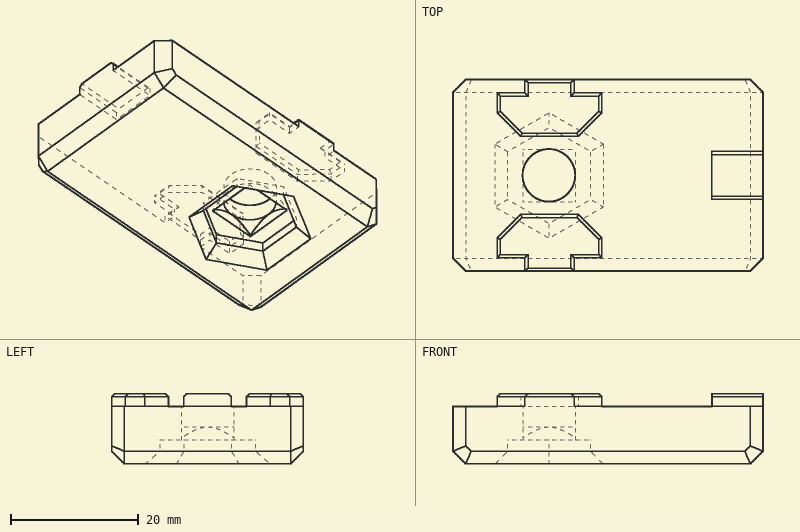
import cadquery as cq
import math

length = 48.5
width = 30.0
base_height = 9.0
edge_chamfer = 2.0

raised_height = 2.0
raised_chamfer = 0.5

lug_center_x = 15.1
lug_width = 16.4
lug_inner_y = 6.1
lug_shoulder_y = 12.9
lug_corner_cut = 3.7
lug_stem_width = 7.7

pad_length = 8.0
pad_width = 7.5

hole_x = 15.0
hole_diameter = 8.2
hex_sides = 6
hex_across_flats = 13.0
hex_depth = 3.8
hex_chamfer = edge_chamfer
neck_side = hole_diameter
neck_depth = 2.0


def make_base():
    """Block whose lower and upright edges are all chamfered."""
    block = cq.Workplane("XY").box(length, width, base_height, centered=(False, True, False))
    block = block.faces("<Z").edges("|Y").chamfer(edge_chamfer)
    for end_face in ("<Y", ">Y"):
        block = block.faces(end_face).edges("not >Z").chamfer(edge_chamfer)
    return block


def make_lug():
    """T-shaped lug on the -Y side, its stem flush with the side of the base."""
    half = lug_width / 2
    stem = lug_stem_width / 2
    outline = [
        (-stem, -width / 2),
        (stem, -width / 2),
        (stem, -lug_shoulder_y),
        (half, -lug_shoulder_y),
        (half, -lug_inner_y - lug_corner_cut),
        (half - lug_corner_cut, -lug_inner_y),
        (lug_corner_cut - half, -lug_inner_y),
        (-half, -lug_inner_y - lug_corner_cut),
        (-half, -lug_shoulder_y),
        (-stem, -lug_shoulder_y),
    ]
    lug = cq.Workplane("XY", origin=(lug_center_x, 0, base_height))
    lug = lug.polyline(outline).close().extrude(raised_height)
    return lug.faces(">Z").edges().chamfer(raised_chamfer)


def make_pad():
    """End pad with its two long upper edges chamfered."""
    pad = cq.Workplane("XY", origin=(length - pad_length / 2, 0, base_height))
    pad = pad.rect(pad_length, pad_width).extrude(raised_height)
    return pad.faces(">Z").edges("|X").chamfer(raised_chamfer)


def make_hole():
    """Through hole and its square neck, narrowed upward by the cone."""
    hole_radius = hole_diameter / 2
    hole = cq.Workplane("XY", origin=(hole_x, 0, 0)).circle(hole_radius).extrude(base_height)

    neck_plane = cq.Workplane("XY", origin=(hole_x, 0, hex_depth))
    neck = neck_plane.rect(neck_side, neck_side).extrude(neck_depth)
    cone = neck_plane.circle(hole_radius + neck_depth)
    cone = cone.workplane(offset=neck_depth).circle(hole_radius).loft(ruled=True)
    return hole.union(neck.intersect(cone))


def make_hex_pocket():
    """Hexagonal pocket, flats facing along X, flared at 45 degrees toward the underside."""
    half_sector = 180 / hex_sides
    corner_ratio = 1 / math.cos(math.radians(half_sector))
    corner_diameter = hex_across_flats * corner_ratio
    mouth_diameter = (hex_across_flats + 2 * hex_chamfer) * corner_ratio
    pocket = cq.Workplane("XY").polygon(hex_sides, corner_diameter).extrude(hex_depth)
    flare = cq.Workplane("XY").polygon(hex_sides, mouth_diameter)
    flare = flare.workplane(offset=hex_chamfer).polygon(hex_sides, corner_diameter).loft(ruled=True)
    return pocket.union(flare).rotate((0, 0, 0), (0, 0, 1), half_sector).translate((hole_x, 0, 0))


lug = make_lug()
result = make_base().union(lug).union(lug.mirror("XZ")).union(make_pad())
result = result.cut(make_hole()).cut(make_hex_pocket())